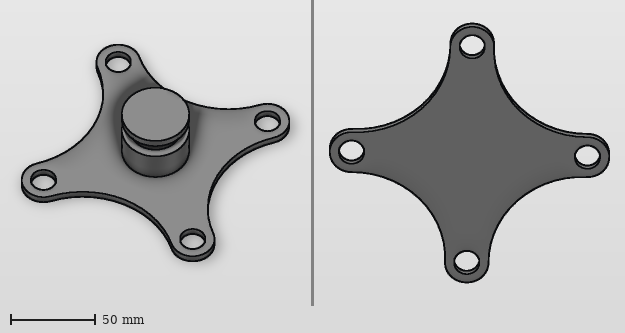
import cadquery as cq
import math

plate_thickness = 5.0
hole_distance = 70.0
hole_diameter = 15.0
arm_count = 4
arm_end_radius = 13.0
waist_half_width = 41.25

post_diameter = 40.0
post_height = 20.0
neck_diameter = 30.0
neck_height = 10.0
cap_height = 5.0

hole_offset = hole_distance * math.sqrt(0.5)
end_step = arm_end_radius * math.sqrt(0.5)
arm_tip = hole_offset + end_step
side_end_x = hole_offset - end_step
side_end_y = hole_offset + end_step


def rotated(point, quarter_turns):
    """Turn a point about the part axis, clockwise seen from above."""
    x, y = point
    for _ in range(quarter_turns):
        x, y = y, -x
    return x, y


def make_plate():
    """Four-armed plate with one through hole at the end of each arm."""
    outline = cq.Workplane("XY").moveTo(-side_end_x, side_end_y)
    for turn in range(arm_count):
        outline = outline.threePointArc(
            rotated((0, waist_half_width), turn),
            rotated((side_end_x, side_end_y), turn),
        )
        outline = outline.threePointArc(
            rotated((arm_tip, arm_tip), turn),
            rotated((side_end_y, side_end_x), turn),
        )
    plate = outline.close().extrude(plate_thickness)
    hole_centers = [rotated((hole_offset, hole_offset), turn) for turn in range(arm_count)]
    return plate.faces(">Z").workplane(origin=(0, 0, 0)).pushPoints(hole_centers).hole(hole_diameter)


def make_post():
    """Round post with a narrower neck under its cap."""
    post = cq.Workplane("XY").workplane(offset=plate_thickness)
    post = post.circle(post_diameter / 2).extrude(post_height)
    post = post.faces(">Z").workplane().circle(neck_diameter / 2).extrude(neck_height)
    return post.faces(">Z").workplane().circle(post_diameter / 2).extrude(cap_height)


result = make_plate().union(make_post())